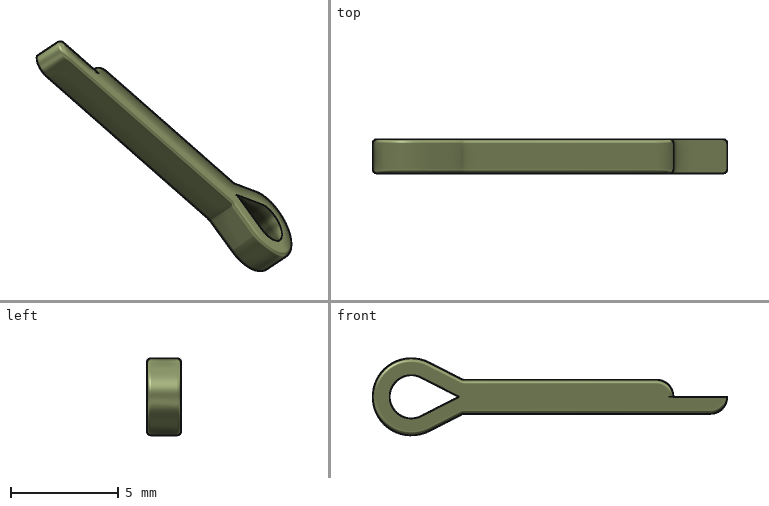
import cadquery as cq
import math

wire_thickness = 0.8
pin_width = 1.6
eye_inner_radius = 1.0
eye_outer_radius = eye_inner_radius + wire_thickness
overall_length = 16.5
leg_length_difference = 2.5
neck_fillet = 0.2
edge_fillet = 0.2

lower_leg_end = overall_length - eye_outer_radius
upper_leg_end = lower_leg_end - leg_length_difference

opening_tip_x = 2.2
flank_angle = math.asin(eye_inner_radius / opening_tip_x)


def tangent_point(radius):
    """Upper point where the flank leaves a circle about the eye centre."""
    return radius * math.sin(flank_angle), radius * math.cos(flank_angle)


def make_body():
    """Outer outline with quarter-round leg ends and a rounded neck, without the opening."""
    tangent_x, tangent_z = tangent_point(eye_outer_radius)
    neck_x = eye_outer_radius / math.sin(flank_angle) - wire_thickness / math.tan(flank_angle)
    arc_middle = wire_thickness * math.sqrt(0.5)
    upper_round_x = upper_leg_end - wire_thickness
    lower_round_x = lower_leg_end - wire_thickness
    body = (
        cq.Workplane("XZ")
        .moveTo(tangent_x, tangent_z)
        .threePointArc((-eye_outer_radius, 0), (tangent_x, -tangent_z))
        .lineTo(neck_x, -wire_thickness)
        .lineTo(lower_round_x, -wire_thickness)
        .threePointArc((lower_round_x + arc_middle, -arc_middle), (lower_leg_end, 0))
        .lineTo(upper_leg_end, 0)
        .threePointArc((upper_round_x + arc_middle, arc_middle), (upper_round_x, wire_thickness))
        .lineTo(neck_x, wire_thickness)
        .close()
        .extrude(pin_width / 2, both=True)
    )
    neck_edges = cq.selectors.BoxSelector(
        (neck_x - neck_fillet, -pin_width, -eye_outer_radius),
        (neck_x + neck_fillet, pin_width, eye_outer_radius),
    )
    return body.edges("|Y").edges(neck_edges).fillet(neck_fillet)


def round_outer_edges(body):
    """Fillet both side outlines, leaving the flat top of the long leg sharp."""
    step_edge = cq.selectors.BoxSelector(
        (upper_leg_end, -pin_width, -edge_fillet / 2),
        (lower_leg_end, pin_width, edge_fillet / 2),
    )
    side_edges = body.faces("<Y or >Y").edges()
    return side_edges.edges(cq.selectors.InverseSelector(step_edge)).fillet(edge_fillet)


def make_eye_opening():
    """Teardrop opening: a round eye running to a point between the legs."""
    tangent_x, tangent_z = tangent_point(eye_inner_radius)
    return (
        cq.Workplane("XZ")
        .moveTo(tangent_x, tangent_z)
        .threePointArc((-eye_inner_radius, 0), (tangent_x, -tangent_z))
        .lineTo(opening_tip_x, 0)
        .close()
        .extrude(pin_width, both=True)
    )


result = round_outer_edges(make_body()).cut(make_eye_opening())